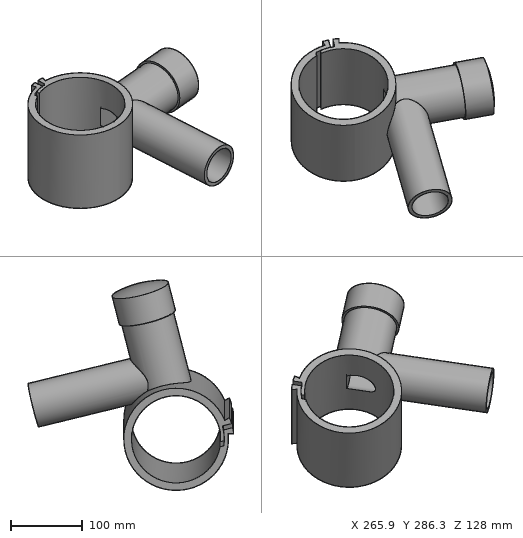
import cadquery as cq

RING_HEIGHT = 128.0
RING_RADIUS = 73.3
BORE_RADIUS = 62.5

LUG_RADIUS = 80.7
LUG_ROOT_X = -72.7
LUG_ROOT_Y = 10.0
LUG_TIP_Y = 12.3
SLOT_WIDTH = 6.0
TONGUE_RADIUS = 67.3
TONGUE_CLEARANCE = 0.3
TONGUE_END_Y = -18.3
POCKET_END_Y = -25.2
CORNER_RADIUS = 2.5

MAIN_RADIUS = 37.5
CAP_RADIUS = 40.7
CAP_START_Y = 166.5
CAP_EDGE_Y = 207.0
CAP_TOP_Y = 286.3 - RING_RADIUS

SIDE_RADIUS = 31.5
SIDE_BORE_RADIUS = 26.0
SIDE_AXIS_Y = 82.2
SIDE_END_X = 185.3
SIDE_BORE_START_X = -15.0


def upright_cylinder(radius):
    return cq.Workplane("XY").circle(radius).extrude(RING_HEIGHT / 2, both=True)


def upright_block(x_min, x_max, y_min, y_max):
    return (
        cq.Workplane("XY")
        .center((x_min + x_max) / 2, (y_min + y_max) / 2)
        .rect(x_max - x_min, y_max - y_min)
        .extrude(RING_HEIGHT / 2, both=True)
    )


def cylinder_along_x(radius, x_min, x_max):
    return (
        cq.Workplane("YZ", origin=(x_min, SIDE_AXIS_Y, 0))
        .circle(radius)
        .extrude(x_max - x_min)
    )


def make_main_pipe():
    """Pipe and cap revolved about Y; the cap ends in a shallow dome."""
    rise = CAP_TOP_Y - CAP_EDGE_Y
    dome_radius = (CAP_RADIUS**2 + rise**2) / (2 * rise)
    mid_x = CAP_RADIUS / 2
    mid_y = CAP_TOP_Y - dome_radius + (dome_radius**2 - mid_x**2) ** 0.5
    return (
        cq.Workplane("XY")
        .lineTo(MAIN_RADIUS, 0)
        .lineTo(MAIN_RADIUS, CAP_START_Y)
        .lineTo(CAP_RADIUS, CAP_START_Y)
        .lineTo(CAP_RADIUS, CAP_EDGE_Y)
        .threePointArc((mid_x, mid_y), (0, CAP_TOP_Y))
        .close()
        .revolve(360, (0, 0, 0), (0, 1, 0))
    )


def make_lugs():
    """Flared lug blank, rounded at its tip about the ring axis."""
    inner_x = -TONGUE_RADIUS
    blank = (
        cq.Workplane("XY")
        .polyline([
            (inner_x, LUG_ROOT_Y),
            (LUG_ROOT_X, LUG_ROOT_Y),
            (-LUG_RADIUS, LUG_TIP_Y),
            (-LUG_RADIUS, -LUG_TIP_Y),
            (LUG_ROOT_X, -LUG_ROOT_Y),
            (inner_x, -LUG_ROOT_Y),
        ])
        .close()
        .extrude(RING_HEIGHT / 2, both=True)
    )
    return blank.intersect(upright_cylinder(LUG_RADIUS))


def make_slot():
    """Gap between the lugs, closed at its inner end by the tongue."""
    gap = upright_block(-LUG_RADIUS, -BORE_RADIUS, -SLOT_WIDTH / 2, SLOT_WIDTH / 2)
    gap = gap.cut(upright_cylinder(TONGUE_RADIUS))
    return gap.edges("|Z").edges(">Y").edges(">X").fillet(CORNER_RADIUS)


def make_pocket():
    """Recess in the ring's inner face that receives the tongue."""
    recess = upright_cylinder(TONGUE_RADIUS + TONGUE_CLEARANCE).intersect(
        upright_block(-RING_RADIUS, -BORE_RADIUS / 2, POCKET_END_Y, 0)
    )
    return recess.edges("|Z").edges("<Y").edges("<X").fillet(CORNER_RADIUS)


def make_tongue():
    band = upright_cylinder(TONGUE_RADIUS).cut(upright_cylinder(BORE_RADIUS))
    sector = upright_block(-RING_RADIUS, -BORE_RADIUS / 2, TONGUE_END_Y, SLOT_WIDTH / 2)
    return band.intersect(sector)


body = upright_cylinder(RING_RADIUS).union(make_main_pipe()).union(make_lugs())
body = body.union(cylinder_along_x(SIDE_RADIUS, 0, SIDE_END_X))
body = body.cut(upright_cylinder(BORE_RADIUS))
body = body.cut(make_slot()).cut(make_pocket()).union(make_tongue())
result = body.cut(cylinder_along_x(SIDE_BORE_RADIUS, SIDE_BORE_START_X, SIDE_END_X))